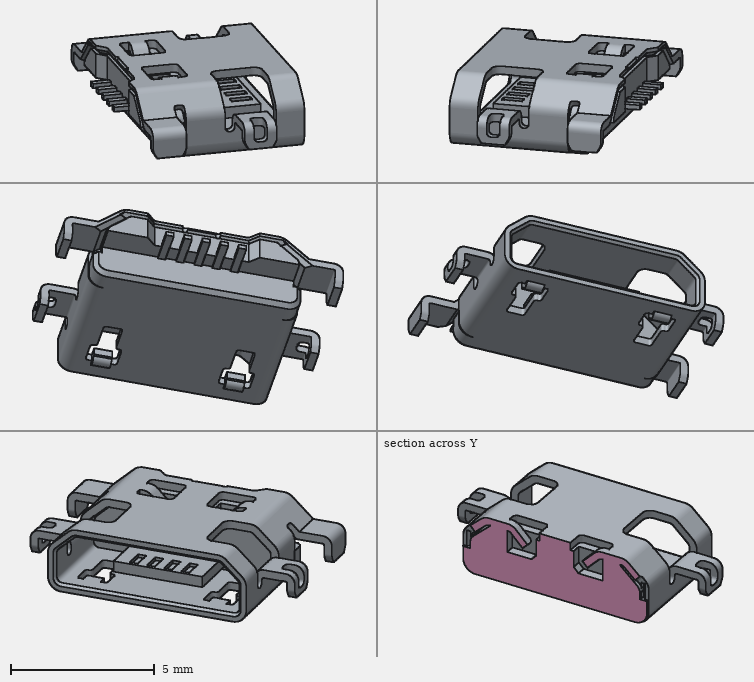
import cadquery as cq
import math


sheet = 0.3
shell_length = 5.85
shell_height = 2.44
shell_half_width = 3.75
roof_half_width = 2.85
shoulder_z = 1.63
bend_radius = 0.5
shell_rear_y = 1.56
rear_edge_bevel = 0.16
mouth_bevel = 0.1
wall_end_bevel = 0.15
slant_slope = (shell_height - shoulder_z) / (shell_half_width - roof_half_width)
slant_shift = sheet / math.sin(math.atan(slant_slope))
ceiling_z = shell_height - sheet
wall_inner_x = shell_half_width - sheet

notch_half_width = 2.01
notch_floor_half_width = 1.69
notch_depth = 0.31
notch_corner = 0.2
relief_x = 0.59
relief_radius = 0.09
tab_bevel = 0.07

leg_reach = 5.0
leg_tip_z = 0.6
leg_bend = 0.35
leg_inner_bend = 0.05
leg_tip_inset = 0.15
leg_tip_rise = 0.26
leg_tip_round = 0.3
rear_leg_top = 1.61
rear_leg_length = 1.21
rear_leg_root_x = 3.2
leg_relief_x = 3.43
leg_relief_depth = 0.32
leg_relief_corner = 0.1
front_leg_top = 1.51
front_leg_length = 1.16
front_leg_root_bend = 0.4
front_leg_under_bend = 0.1
front_leg_root_z = 0.7
leg_slot_width = 0.47
leg_slot_inner_x = 4.33
leg_slot_bottom = 0.85
leg_slot_corner = 0.16

window_y = 3.9
window_length = 1.84
window_inner_x = 1.74
window_corner = 0.3
window_bottom = 0.88
side_slit = (window_length - front_leg_length) / 2

floor_hole_x = 2.38
floor_hole_width = 1.12
floor_hole_neck = 0.67
floor_hole_front_y = 5.15
floor_hole_neck_y = 4.39
floor_hole_rear_y = 3.39
floor_hole_corner = 0.1
spring_width = 0.65
spring_tip_y = 4.82
bump_y = 5.12
bump_length = 0.43
bump_depth = 0.16

opening_inner_x = 0.63
opening_outer_x = 2.01
opening_y = 1.49
opening_length = 1.32
opening_corner = 0.16
finger_width = 0.6
finger_bend_x = 1.92
finger_tip_x = 1.1
finger_tip_corner = 0.12
finger_angle = math.radians(45)

body_front_y = 2.5
body_rear_y = 0.84
body_rear_bevel = 0.16
body_half_width = 3.72
body_side_z = 1.0
upper_half_width = 3.43
upper_bottom_z = 1.25
slant_gap = 0.11
upper_corner_radius = 0.35
pocket_width = 0.69
pocket_inner_x = 0.76
pocket_outer_x = 1.92
pocket_ramp_z = 1.5
pocket_bottom_z = 1.3
pocket_ramp_run = 0.19
tongue_half_width = 1.68
tongue_bottom = 0.64
tongue_top = 1.04
tongue_end_y = 4.88
groove_width = 0.3
groove_depth = 0.12
groove_start_y = 4.0
groove_end_y = 4.74
tongue_base_top = 1.17
tongue_base_end_y = 3.21

pin_count = 5
pin_pitch = 0.65
pin_width = 0.27
pin_bottom = 1.18
pin_top = 1.35
pin_reach = 0.35

pick_margin = 0.01


def box(x0, x1, y0, y1, z0, z1):
    """Axis-aligned block between two corners."""
    return cq.Workplane("XY").box(x1 - x0, y1 - y0, z1 - z0, centered=False).translate((x0, y0, z0))


def prism(points, y0, y1):
    """XZ outline extruded along Y from y0 to y1."""
    return cq.Workplane("XZ", origin=(0, y0, 0)).polyline(points).close().extrude(y0 - y1)


def both_sides(solid):
    return solid.union(solid.mirror("YZ"))


def slant_x(z, inset=0.0):
    """X of the outer slanted face at height z, moved inward by inset."""
    return roof_half_width + (shell_height - z) / slant_slope - inset


def envelope():
    """Solid bounded by the outer faces of the shell."""
    right = [(shell_half_width, 0), (shell_half_width, shoulder_z), (roof_half_width, shell_height)]
    left = [(-x, z) for x, z in reversed(right)]
    return prism(right + left, 0, shell_length).edges("|Y").fillet(bend_radius)


def slant_z(x):
    """Height of the outer slanted face at x."""
    return shell_height - (x - roof_half_width) * slant_slope


def leg_side_outline(y_center, length):
    """Block that trims a leg to its width and narrows its tip, seen along X."""
    half = length / 2
    shoulder = leg_tip_z + leg_tip_rise
    outline = (
        cq.Workplane("YZ")
        .polyline([
            (-half, shell_height), (-half, shoulder), (leg_tip_inset - half, leg_tip_z),
            (half - leg_tip_inset, leg_tip_z), (half, shoulder), (half, shell_height),
        ])
        .close()
        .extrude(leg_reach)
    )
    shoulders = cq.selectors.BoxSelector(
        (0, -length, shoulder - pick_margin), (leg_reach, length, shoulder + pick_margin))
    return outline.edges("|X").edges(shoulders).fillet(leg_tip_round).translate((0, y_center, 0))


def edge_at(x, z):
    """Selector for the Y-parallel edge through (x, z)."""
    return cq.selectors.BoxSelector(
        (x - pick_margin, -shell_length, z - pick_margin),
        (x + pick_margin, shell_length, z + pick_margin))


def leg(root_below, root_above, top_z, y_center, length):
    """Right-hand leg: from its root outline out to the reach, then down to the tip."""
    foot_inner_x = leg_reach - sheet
    under_z = top_z - sheet
    outline = root_above + [
        (leg_reach, top_z), (leg_reach, leg_tip_z), (foot_inner_x, leg_tip_z), (foot_inner_x, under_z),
    ] + root_below
    strip = prism(outline, y_center - length / 2, y_center + length / 2)
    strip = strip.edges(edge_at(leg_reach, top_z)).fillet(leg_bend)
    strip = strip.edges(edge_at(foot_inner_x, under_z)).fillet(leg_inner_bend)
    return strip.intersect(leg_side_outline(y_center, length))


def rear_leg():
    """Leg that continues the slanted side of the roof."""
    root_top_z = slant_z(rear_leg_root_x)
    under_z = rear_leg_top - sheet
    above = [(rear_leg_root_x, root_top_z), (slant_x(rear_leg_top), rear_leg_top)]
    below = [
        (slant_x(under_z, slant_shift), under_z),
        (rear_leg_root_x, root_top_z - slant_shift * slant_slope),
    ]
    return leg(below, above, rear_leg_top, rear_leg_length / 2, rear_leg_length)


def front_leg():
    """Leg bent outward from the side wall, with a slot over its outer bend."""
    above = [(wall_inner_x, front_leg_root_z), (wall_inner_x, front_leg_top)]
    below = [(shell_half_width, front_leg_top - sheet), (shell_half_width, front_leg_root_z)]
    strip = leg(below, above, front_leg_top, window_y, front_leg_length)
    strip = strip.edges(edge_at(wall_inner_x, front_leg_top)).fillet(front_leg_root_bend)
    strip = strip.edges(edge_at(shell_half_width, front_leg_top - sheet)).fillet(front_leg_under_bend)
    half = leg_slot_width / 2
    slot = box(leg_slot_inner_x, leg_reach, window_y - half, window_y + half, leg_slot_bottom, shell_height)
    slot = slot.faces("<X").edges("|Z").fillet(leg_slot_corner)
    slot = slot.faces("<Z").edges("|X").fillet(leg_slot_corner)
    return strip.cut(slot)


def notch_outline():
    """Trapezoid removed from the rear edge of the roof."""
    right = [
        (roof_half_width, -shell_length), (roof_half_width, 0),
        (notch_half_width, 0), (notch_floor_half_width, notch_depth),
    ]
    left = [(-x, y) for x, y in reversed(right)]
    return cq.Workplane("XY", origin=(0, 0, ceiling_z)).polyline(right + left).close()


def rear_edge_cuts():
    """Notch, its inside bevel and the two reliefs beside the bevelled centre tab."""
    notch = notch_outline().extrude(sheet)
    notch = notch.edges("|Z").edges(">Y").fillet(notch_corner)
    bevel = notch_outline().offset2D(rear_edge_bevel, "intersection").extrude(rear_edge_bevel, taper=45)
    reliefs = (
        cq.Workplane("XY", origin=(0, notch_depth, ceiling_z))
        .pushPoints([(-relief_x, 0), (relief_x, 0)])
        .circle(relief_radius)
        .extrude(sheet)
    )
    tab_wedge = (
        cq.Workplane("YZ", origin=(-relief_x, 0, 0))
        .polyline([
            (notch_depth, shell_height - tab_bevel), (notch_depth, shell_height),
            (notch_depth + tab_bevel, shell_height),
        ])
        .close()
        .extrude(2 * relief_x)
    )
    return notch.union(bevel).union(reliefs).union(tab_wedge)


def slant_bevel():
    """Bevel along the inner rear edge of the roof and its slanted sides."""
    low = rear_leg_top - sheet
    right = [(slant_x(low, slant_shift), low), (slant_x(ceiling_z, slant_shift), ceiling_z)]
    left = [(-x, z) for x, z in reversed(right)]
    return (
        cq.Workplane("XZ")
        .polyline(right + left)
        .close()
        .offset2D(rear_edge_bevel, "intersection")
        .extrude(-rear_edge_bevel, taper=45)
    )


def side_window():
    """Right-hand window through roof, slant and wall, with a round slit each side of the leg."""
    y0 = window_y - window_length / 2
    y1 = window_y + window_length / 2
    slit_radius = side_slit / 2
    slit_z = window_bottom + slit_radius
    cut = box(window_inner_x, shell_half_width, y0, y1, slit_z, shell_height)
    cut = cut.faces("<X").edges("|Z").fillet(window_corner)
    slits = (
        cq.Workplane("YZ", origin=(wall_inner_x - sheet, 0, 0))
        .pushPoints([(y0 + slit_radius, slit_z), (y1 - slit_radius, slit_z)])
        .circle(slit_radius)
        .extrude(2 * sheet)
    )
    return cut.union(slits)


def floor_hole():
    """T-shaped opening through the floor, around a spring that points away from the mouth."""
    wide = floor_hole_width / 2
    neck = floor_hole_neck / 2
    front_y = floor_hole_front_y
    neck_y = floor_hole_neck_y
    outline = [
        (-wide, front_y), (-wide, neck_y), (-neck, neck_y), (-neck, floor_hole_rear_y),
        (neck, floor_hole_rear_y), (neck, neck_y), (wide, neck_y), (wide, front_y),
    ]
    hole = cq.Workplane("XY").polyline(outline).close().extrude(sheet)
    hole = hole.edges("|Z").fillet(floor_hole_corner).translate((floor_hole_x, 0, 0))
    half = spring_width / 2
    spring = box(floor_hole_x - half, floor_hole_x + half, spring_tip_y, floor_hole_front_y, 0, sheet)
    return hole.cut(spring)


def bump():
    """Rounded ridge under a floor spring."""
    return (
        cq.Workplane("YZ", origin=(floor_hole_x - spring_width / 2, 0, 0))
        .moveTo(bump_y - bump_length / 2, 0)
        .threePointArc((bump_y, -bump_depth), (bump_y + bump_length / 2, 0))
        .close()
        .extrude(spring_width)
    )


def roof_opening():
    """Right-hand opening in the roof around a spring finger."""
    half = opening_length / 2
    opening = box(
        opening_inner_x, opening_outer_x, opening_y - half, opening_y + half, ceiling_z, shell_height)
    return opening.edges("|Z").fillet(opening_corner)


def finger():
    """Right-hand spring finger, curving down from the roof toward the centre."""
    sin_a = math.sin(finger_angle)
    cos_a = math.cos(finger_angle)
    sin_half = math.sin(finger_angle / 2)
    cos_half = math.cos(finger_angle / 2)
    inner_radius = bend_radius - sheet
    center_z = shell_height - bend_radius

    def on_bend(radius, sin_t, cos_t):
        return (finger_bend_x - radius * sin_t, center_z + radius * cos_t)

    top_end = on_bend(bend_radius, sin_a, cos_a)
    under_end = on_bend(inner_radius, sin_a, cos_a)
    run = top_end[0] - finger_tip_x
    drop = run * math.tan(finger_angle)
    strip = (
        cq.Workplane("XZ", origin=(0, opening_y + finger_width / 2, 0))
        .moveTo(opening_outer_x, shell_height)
        .lineTo(finger_bend_x, shell_height)
        .threePointArc(on_bend(bend_radius, sin_half, cos_half), top_end)
        .lineTo(finger_tip_x, top_end[1] - drop)
        .lineTo(under_end[0] - run, under_end[1] - drop)
        .lineTo(*under_end)
        .threePointArc(on_bend(inner_radius, sin_half, cos_half), (finger_bend_x, ceiling_z))
        .lineTo(opening_outer_x, ceiling_z)
        .close()
        .extrude(finger_width)
    )
    tip_edges = cq.selectors.ParallelDirSelector(cq.Vector(sin_a, 0, -cos_a))
    return strip.faces("<X").edges(tip_edges).fillet(finger_tip_corner)


def leg_relief():
    """Right-hand gap between rear leg and side wall, cut square to the slanted side."""
    angle = math.atan(slant_slope)
    normal_x = math.sin(angle)
    normal_z = math.cos(angle)
    end_z = slant_z(leg_relief_x)
    outer = (leg_relief_x + sheet * normal_x, end_z + sheet * normal_z)
    inner = (leg_relief_x - leg_relief_depth * normal_x, end_z - leg_relief_depth * normal_z)
    gap = prism(
        [outer, inner, (inner[0], 0), (leg_reach, 0), (leg_reach, outer[1])],
        rear_leg_length, shell_rear_y)
    end_edges = cq.selectors.ParallelDirSelector(cq.Vector(normal_x, 0, normal_z))
    return gap.edges(end_edges).fillet(leg_relief_corner)


def wall_end_wedge():
    """Bevel on the inner rear edge of the right side wall, above the insulator flank."""
    return (
        cq.Workplane("XY", origin=(0, 0, body_side_z))
        .polyline([
            (wall_inner_x, shell_rear_y), (wall_inner_x + wall_end_bevel, shell_rear_y),
            (wall_inner_x, shell_rear_y + wall_end_bevel),
        ])
        .close()
        .extrude(shoulder_z - body_side_z)
    )


def shell():
    tube = envelope().faces("|Y").shell(-sheet)
    mouth_edges = tube.faces(">Y").val().innerWires()[0].Edges()
    tube = tube.newObject(mouth_edges).chamfer(mouth_bevel)
    tube = tube.cut(box(-shell_half_width, shell_half_width, 0, shell_rear_y, 0, rear_leg_top - sheet))
    rear_wall = box(upper_half_width, shell_half_width, 0, rear_leg_length, 0, shell_height)
    tube = tube.cut(both_sides(rear_wall)).union(both_sides(rear_leg())).cut(both_sides(leg_relief()))
    tube = tube.cut(both_sides(wall_end_wedge()))
    tube = tube.cut(rear_edge_cuts()).cut(slant_bevel())
    tube = tube.cut(both_sides(side_window())).union(both_sides(front_leg()))
    tube = tube.cut(both_sides(floor_hole())).union(both_sides(bump()))
    return tube.cut(both_sides(roof_opening())).union(both_sides(finger()))


def upper_body():
    """Insulator under the roof, clear of the slanted sides and notched like the roof."""
    inset = slant_shift + slant_gap
    side_top_z = slant_z(upper_half_width + inset)
    right = [
        (upper_half_width, upper_bottom_z), (upper_half_width, side_top_z),
        (slant_x(ceiling_z, inset), ceiling_z),
    ]
    left = [(-x, z) for x, z in reversed(right)]
    notch = notch_outline().extrude(upper_bottom_z - ceiling_z)
    body = prism(right + left, 0, body_front_y)
    for x in (-upper_half_width, upper_half_width):
        body = body.edges(edge_at(x, side_top_z)).fillet(upper_corner_radius)
    return body.cut(notch)


def lower_body():
    """Insulator filling the floor of the shell and closing its rear end."""
    inside = envelope().intersect(
        box(-wall_inner_x, wall_inner_x, shell_rear_y, body_front_y, 0, upper_bottom_z))
    plug = box(-body_half_width, body_half_width, body_rear_y, shell_rear_y, 0, body_side_z)
    plug = plug.faces("<Z").edges("|Y").fillet(bend_radius)
    plug = plug.faces("<Y").edges("not >Z").chamfer(body_rear_bevel)
    core = box(-upper_half_width, upper_half_width, body_rear_y, shell_rear_y, body_side_z, upper_bottom_z)
    return plug.union(core).union(inside)


def finger_pocket():
    """Right-hand pocket below a finger, with a ramp at the foot of its inner wall."""
    return prism(
        [
            (pocket_inner_x, ceiling_z), (pocket_outer_x, ceiling_z),
            (pocket_outer_x, pocket_bottom_z), (pocket_inner_x + pocket_ramp_run, pocket_bottom_z),
            (pocket_inner_x, pocket_ramp_z),
        ],
        opening_y - pocket_width / 2, opening_y + pocket_width / 2)


def tongue():
    blade = box(
        -tongue_half_width, tongue_half_width, body_front_y, tongue_end_y, tongue_bottom, tongue_top)
    base = box(
        -tongue_half_width, tongue_half_width, body_front_y, tongue_base_end_y,
        tongue_bottom, tongue_base_top)
    grooves = (
        cq.Workplane("XY", origin=(0, (groove_start_y + groove_end_y) / 2, tongue_top - groove_depth))
        .rarray(pin_pitch, 0.1, pin_count - 1, 1)
        .rect(groove_width, groove_end_y - groove_start_y)
        .extrude(groove_depth)
    )
    return blade.union(base).cut(grooves)


def insulator():
    body = upper_body().union(lower_body()).cut(both_sides(finger_pocket()))
    return body.union(tongue())


def contact_tails():
    """Row of flat tails from the rear of the insulator body outward."""
    length = pin_reach + body_rear_y
    return (
        cq.Workplane("XY", origin=(0, length / 2 - pin_reach, pin_bottom))
        .rarray(pin_pitch, 0.1, pin_count, 1)
        .rect(pin_width, length)
        .extrude(pin_top - pin_bottom)
    )


result = shell().union(insulator()).union(contact_tails())